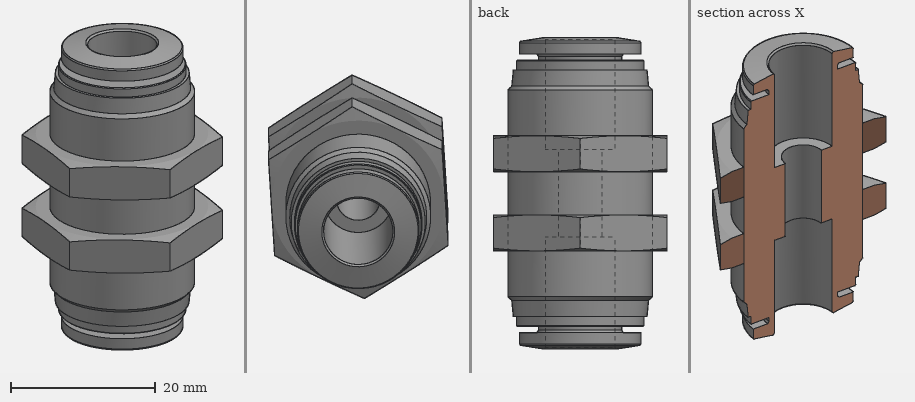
import cadquery as cq
import math

length = 43.0
middle = length / 2

bore_radius = 9.55 / 2
bore_chamfer = 0.25
bore_depth = 15.5
collar_radius = 16.8 / 2
collar_cone_radius = 8.25
collar_cone_drop = 0.5
collar_edge_drop = 0.75
collar_bottom_drop = 2.3

neck_radius = 11.52 / 2
neck_flare = 0.2
neck_flare_drop = 2.62

rim_radius = 17.65 / 2
rim_chamfer = 0.15
rim_drop = 3.15
taper_drop = 4.47
taper_top_radius = 9.25
taper_bottom_radius = 18.9 / 2
taper_bottom_drop = 6.7
barrel_radius = 20.0 / 2
barrel_drop = taper_bottom_drop + barrel_radius - taper_bottom_radius
passage_radius = 6.0 / 2

nut_width = 24.0
nut_height = 5.0
nut_gap = 5.95
nut_face_radius = 11.9
nut_corner_drop = 0.4
nut_corner_radius = nut_width / math.sqrt(3)


def make_fitting():
    """Revolve one profile made of the upper end and its mirror image below the middle plane."""
    profile = [
        (passage_radius, bore_depth),
        (bore_radius, bore_depth),
        (bore_radius, bore_chamfer),
        (bore_radius + bore_chamfer, 0),
        (collar_cone_radius, collar_cone_drop),
        (collar_radius, collar_edge_drop),
        (collar_radius, collar_bottom_drop),
        (neck_radius + neck_flare, collar_bottom_drop),
        (neck_radius, neck_flare_drop),
        (neck_radius, rim_drop),
        (rim_radius - rim_chamfer, rim_drop),
        (rim_radius, rim_drop + rim_chamfer),
        (rim_radius, taper_drop),
        (taper_top_radius, taper_drop),
        (taper_bottom_radius, taper_bottom_drop),
        (barrel_radius, barrel_drop),
    ]
    upper = [(radius, middle - drop) for radius, drop in profile]
    lower = [(radius, -height) for radius, height in reversed(upper)]
    return cq.Workplane("XZ").polyline(upper + lower).close().revolve(360, (0, 0, 0), (0, 1, 0))


def make_nut(center_height):
    """Hexagonal nut with flats facing +X and -X and conical corners on both faces."""
    half_height = nut_height / 2
    hexagon = (
        cq.Workplane("XY")
        .polygon(6, 2 * nut_corner_radius)
        .extrude(half_height, both=True)
        .rotate((0, 0, 0), (0, 0, 1), 30)
    )
    corner_height = half_height - nut_corner_drop
    envelope = (
        cq.Workplane("XZ")
        .moveTo(barrel_radius, -half_height)
        .lineTo(nut_face_radius, -half_height)
        .lineTo(nut_corner_radius, -corner_height)
        .lineTo(nut_corner_radius, corner_height)
        .lineTo(nut_face_radius, half_height)
        .lineTo(barrel_radius, half_height)
        .close()
        .revolve(360, (0, 0, 0), (0, 1, 0))
    )
    return hexagon.intersect(envelope).translate((0, 0, center_height))


fitting = make_fitting()
nut_offset = (nut_gap + nut_height) / 2
nuts = [make_nut(side * nut_offset) for side in (-1, 1)]

result = cq.Compound.makeCompound([fitting.val(), *[nut.solids().val() for nut in nuts]])